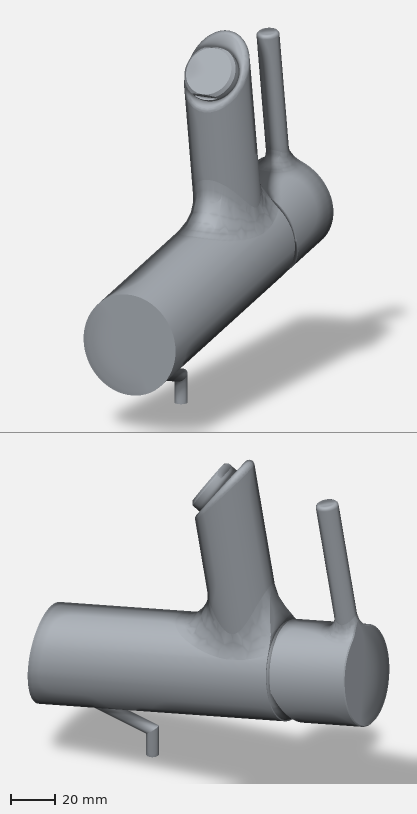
import cadquery as cq
import math

tilt = 9.5

body_radius = 23.3
body_end = 120.5
blend_overhang = 48.8
mount_allowance = 8.1

neck_radius = 24.0
neck_center = 112.3

cap_start = 122.4
cap_end = 160.0
cap_edge_chamfer = 0.5
relief_start = 122.7
relief_end = 130.3

lever_radius = 5.2
lever_center = 154.2
lever_top = 87.2
lever_tip_fillet = 1.6
lever_blend = 7.3

spout_radius = 15.3
spout_center = 103.3
spout_cut_height = 92.7
spout_cut_angle = 44.8
spout_rim_fillet = 2.5
spout_blend = 19.5
back_clearance = 0.2
back_hollow_top = 45.5
back_hollow_middle = (119.1, 34.2)

nozzle_radius = 12.5
nozzle_chamfer = 1.5
nozzle_length = 13.0
nozzle_face_y = 95.7
nozzle_face_z = 93.5
nozzle_angle = 47.4
flat_offset = 11.0
flat_length = 3.7

rod_radius = 3.0
rod_y = 51.3
rod_bottom = -40.3
rod_bend = -27.5
rod_slope = 15.6
rod_length = 48.8

seam_margin = 1.6
big = 325.4


def cylinder_along_y(radius, start, end):
    return cq.Workplane("XZ", origin=(0, start, 0)).circle(radius).extrude(start - end)


def cylinder_along_z(radius, y, top):
    return cq.Workplane("XY", origin=(0, y, 0)).circle(radius).extrude(top)


def make_spout():
    spout = cylinder_along_z(spout_radius, spout_center, spout_cut_height + 2 * spout_radius)
    above_cut = (
        cq.Workplane("XY").box(big, big, big, centered=(True, True, False))
        .rotate((0, 0, 0), (1, 0, 0), spout_cut_angle)
        .translate((0, spout_center, spout_cut_height))
    )
    return spout.cut(above_cut).faces(">Z").edges().fillet(spout_rim_fillet)


def space_behind(y):
    return cq.Workplane("XY").box(big, big, big).translate((0, y + big / 2, 0))


def blend_post(barrel, post, radius, post_center, post_radius):
    """Join a vertical post to a barrel and round the seam between them."""
    reach = post_radius + seam_margin
    seam = cq.selectors.BoxSelector(
        (-reach, post_center - reach, 0),
        (reach, post_center + reach, body_radius + seam_margin),
    )
    return barrel.union(post).edges(seam).edges("not #Z").fillet(radius)


def make_body():
    barrel = cylinder_along_y(body_radius, -mount_allowance, body_end + blend_overhang)
    body = blend_post(barrel, make_spout(), spout_blend, spout_center, spout_radius)
    body = body.cut(space_behind(body_end))
    hollow = (
        cq.Workplane("YZ")
        .moveTo(spout_center + spout_radius + back_clearance, back_hollow_top)
        .threePointArc(back_hollow_middle, (body_end, body_radius))
        .lineTo(body_end, back_hollow_top)
        .close()
        .extrude(body_radius, both=True)
    )
    return body.cut(hollow)


def make_neck():
    ball = cq.Workplane("XY").sphere(neck_radius).translate((0, neck_center, 0))
    return ball.intersect(cylinder_along_y(body_radius, neck_center, cap_end))


def make_cap():
    barrel = cylinder_along_y(body_radius, cap_start, cap_end + blend_overhang)
    lever = cylinder_along_z(lever_radius, lever_center, lever_top)
    lever = lever.faces(">Z").edges().fillet(lever_tip_fillet)
    cap = blend_post(barrel, lever, lever_blend, lever_center, lever_radius)
    cap = cap.cut(space_behind(cap_end))
    cap = cap.faces(">Y").edges().chamfer(cap_edge_chamfer)
    relief = (
        cq.Workplane("YZ")
        .polyline([(cap_start, 0), (relief_start, 0), (relief_end, -body_radius), (cap_start, -body_radius)])
        .close()
        .extrude(body_radius, both=True)
    )
    return cap.cut(relief)


def make_nozzle():
    """Outlet built along +Z with its face at the origin, then tilted into place."""
    nozzle = cq.Workplane("XY").circle(nozzle_radius).extrude(-nozzle_length)
    nozzle = nozzle.faces(">Z").edges().chamfer(nozzle_chamfer)
    for side in (-1, 1):
        flat_center = side * (flat_offset + nozzle_radius / 2)
        flat = cq.Workplane("XY").center(0, flat_center).rect(2 * nozzle_radius, nozzle_radius)
        nozzle = nozzle.cut(flat.extrude(-flat_length))
    return nozzle.rotate((0, 0, 0), (1, 0, 0), nozzle_angle).translate((0, nozzle_face_y, nozzle_face_z))


def make_rod():
    """Bent rod: a vertical end mitred to a sloping leg that enters the body."""
    slope = math.radians(rod_slope)
    path = (
        cq.Workplane("YZ")
        .moveTo(rod_y, rod_bottom)
        .lineTo(rod_y, rod_bend)
        .lineTo(rod_y - rod_length * math.cos(slope), rod_bend + rod_length * math.sin(slope))
    )
    profile = cq.Workplane("XY", origin=(0, rod_y, rod_bottom)).circle(rod_radius)
    return profile.sweep(path, transition="right")


faucet = make_body().union(make_neck()).union(make_cap()).union(make_nozzle())
faucet = faucet.rotate((0, 0, 0), (1, 0, 0), tilt)
in_front = cq.Workplane("XY").box(big, big, big).translate((0, -big / 2, 0))
result = faucet.cut(in_front).union(make_rod())